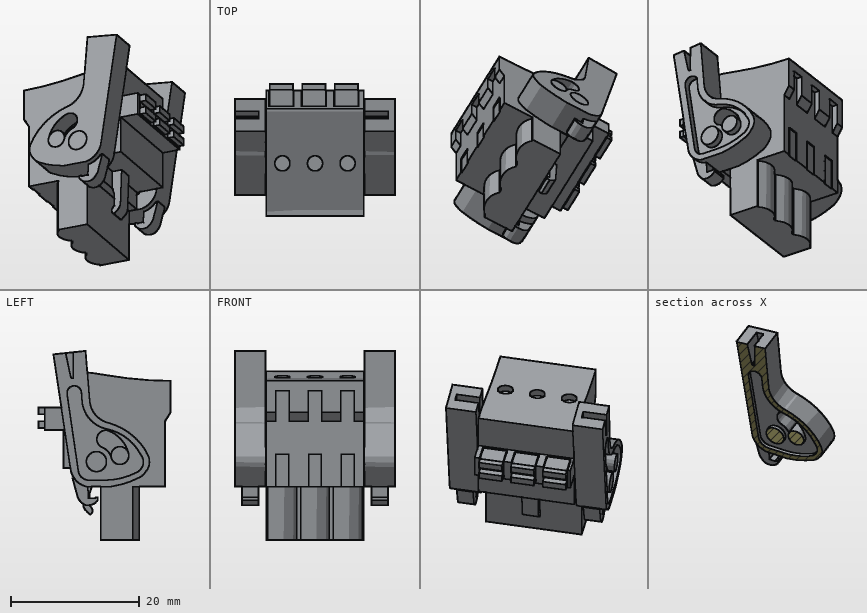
import cadquery as cq
import math


overall_width = 24.95
pole_count = 3
pole_pitch = 5.08
pole_positions = [(i - (pole_count - 1) / 2) * pole_pitch for i in range(pole_count)]
housing_width = pole_count * pole_pitch
cut_margin = 0.3

lip_overhang = 0.9
lip_bottom_z = 11.57
lip_root_z = 10.15
front_top_z = 16.5
crest_joint_y, crest_joint_z = 8.95, 17.35
rear_y = 15.85
rear_top_z = 18.0
rear_step_z = 2.9
underside_rear_y = 11.4

rear_block_y = 18.75
rear_block_bottom_z = 8.8
rear_block_top_z = 12.37

front_slot_width = 2.13
front_slot_top_z = 14.95
front_recess_width = 2.0
front_recess_height = 5.02
front_recess_depth = 0.15

test_hole_y = 7.35
test_hole_diameter = 2.35
test_hole_floor_z = 15.75

socket_length = 8.35
socket_rear_y = 10.05
socket_front_y = 5.05
socket_bulge = 1.03
socket_bulge_width = 4.52

tail_width = 2.6

button_offset_x = -0.18
button_width = 3.65
button_front_y = 16.25
button_shoulder_y = 18.85
button_tip_y = 19.75
button_bottom_z = 9.1
button_tip_inset = 0.03
button_slot_bottom_z = 10.2
button_slot_height = 1.03
button_side_gap = 0.12

lever_width = 4.78
lever_outer_x = overall_width / 2
lever_spacing = overall_width - lever_width
recess_depth = 1.15
lever_top_z = 21.17
lever_bottom_z = 0
recess_bottom_z = 1.0
slit_depth = 3.72
slit_front_y = 14.3
slit_bottom_z = 16.91
hook_width = 2.6

pivot_y, pivot_z = 10.7, 3.9
pivot_radius = 1.55
guide_radius = 1.4
guide_orbit = 3.78
guide_start_angle = 165.5
guide_end_angle = 112.5


def block(x_centre, width, y_min, y_max, z_min, z_max):
    """A box centred on x_centre along X, given by its limits along Y and Z."""
    depth = y_max - y_min
    height = z_max - z_min
    base = cq.Workplane("XY", origin=(x_centre, y_min, z_min))
    return base.box(width, depth, height, centered=(True, False, False))


def profile_at(x):
    """A sketch plane at the given X whose coordinates are Y and Z."""
    return cq.Workplane("YZ", origin=(x, 0, 0))


def orbit_point(radius, angle):
    """The Y and Z of a point on a circle about the pivot axis, with the angle measured from +Y towards +Z."""
    a = math.radians(angle)
    return pivot_y + radius * math.cos(a), pivot_z + radius * math.sin(a)


def housing_shell():
    """The main side profile across all the poles, with an S-shaped top."""
    rear_mid_y = (rear_y + crest_joint_y) / 2
    rear_mid = (rear_mid_y, rear_top_z - (rear_top_z - crest_joint_z) / 4)
    front_mid_y = (crest_joint_y - lip_overhang) / 2
    front_mid = (front_mid_y, front_top_z + (crest_joint_z - front_top_z) / 4)
    return (
        profile_at(-housing_width / 2)
        .moveTo(0, 0)
        .lineTo(0, lip_root_z)
        .lineTo(-lip_overhang, lip_bottom_z)
        .lineTo(-lip_overhang, front_top_z)
        .threePointArc(front_mid, (crest_joint_y, crest_joint_z))
        .threePointArc(rear_mid, (rear_y, rear_top_z))
        .lineTo(rear_y, rear_step_z)
        .lineTo(underside_rear_y, rear_step_z)
        .lineTo(underside_rear_y, 0)
        .close()
        .extrude(housing_width)
    )


def rear_block():
    return block(0, housing_width, rear_y, rear_block_y, rear_block_bottom_z, rear_block_top_z)


def front_openings(x):
    """The slot through the front lip and the shallow recess below it, for one pole."""
    slot = block(x, front_slot_width, -lip_overhang - cut_margin, 0, lip_root_z, front_slot_top_z)
    recess = block(x, front_recess_width, 0, front_recess_depth, 0, front_recess_height)
    return slot.union(recess)


def test_hole(x):
    return (
        cq.Workplane("XY", origin=(x, test_hole_y, test_hole_floor_z))
        .circle(test_hole_diameter / 2)
        .extrude(rear_top_z - test_hole_floor_z)
    )


def socket_row():
    """A bar across all the poles with one rounded bulge per pole on its front."""
    row = block(0, housing_width, socket_front_y, socket_rear_y, -socket_length, 0)
    for x in pole_positions:
        bulge = (
            cq.Workplane("XY", origin=(x, socket_front_y, -socket_length))
            .moveTo(-socket_bulge_width / 2, 0)
            .threePointArc((0, -socket_bulge), (socket_bulge_width / 2, 0))
            .close()
            .extrude(socket_length)
        )
        row = row.union(bulge)
    return row


def locking_tail():
    """A curved tail hanging from the rear step down past the lever hooks."""
    return (
        profile_at(-tail_width / 2)
        .moveTo(underside_rear_y, rear_step_z)
        .lineTo(underside_rear_y, 0)
        .lineTo(11.72, -1.03)
        .lineTo(11.72, -2.95)
        .threePointArc((11.42, -3.3), (11.25, -3.78))
        .threePointArc((11.37, -4.1), (11.7, -4.37))
        .lineTo(12.28, -3.78)
        .threePointArc((12.65, -3.25), (12.78, -2.72))
        .lineTo(13.0, rear_step_z)
        .close()
        .extrude(tail_width)
    )


def pin(y, z, radius, side):
    """A pin from one flank of the housing to the outer face of that side's lever."""
    start = side * housing_width / 2
    return profile_at(start).center(y, z).circle(radius).extrude(side * (lever_outer_x - housing_width / 2))


def button_pocket(x):
    return block(
        x,
        button_width + 2 * button_side_gap,
        button_front_y,
        rear_block_y + cut_margin,
        button_bottom_z,
        rear_block_top_z + cut_margin,
    )


def make_housing():
    body = housing_shell().union(rear_block()).union(socket_row()).union(locking_tail())
    for x in pole_positions:
        body = body.cut(front_openings(x)).cut(test_hole(x)).cut(button_pocket(x + button_offset_x))
    guide_y, guide_z = orbit_point(guide_orbit, guide_start_angle)
    for side in (-1, 1):
        body = body.union(pin(pivot_y, pivot_z, pivot_radius, side))
        body = body.union(pin(guide_y, guide_z, guide_radius, side))
    return body


def make_button(x):
    """A push button whose split tip stands out of the rear block."""
    body = block(x, button_width, button_front_y, button_shoulder_y, button_bottom_z, rear_block_top_z)
    tip = block(
        x,
        button_width,
        button_shoulder_y,
        button_tip_y,
        button_bottom_z + button_tip_inset,
        rear_block_top_z - button_tip_inset,
    )
    slot = block(
        x,
        button_width,
        rear_block_y,
        button_tip_y,
        button_slot_bottom_z,
        button_slot_bottom_z + button_slot_height,
    )
    return body.union(tip).cut(slot)


def lever_plate():
    return (
        profile_at(-lever_outer_x)
        .moveTo(17.42, 20.63)
        .lineTo(12.37, lever_top_z)
        .lineTo(11.75, 13.5)
        .threePointArc((10.85, 11.22), (8.75, 9.92))
        .threePointArc((5.52, 8.32), (3.13, 5.8))
        .lineTo(2.8, 5.15)
        .threePointArc((2.42, 3.75), (3.0, 2.33))
        .threePointArc((3.4, 1.85), (3.9, 1.48))
        .threePointArc((6.05, 0.55), (8.45, lever_bottom_z))
        .lineTo(12.22, lever_bottom_z)
        .threePointArc((13.75, 0.83), (14.67, 2.33))
        .close()
        .extrude(lever_width)
    )


def lever_recess():
    """The shallow pocket in the lever's -X face."""
    return (
        profile_at(-lever_outer_x)
        .moveTo(15.25, 14.4)
        .threePointArc((14.17, 15.7), (13.02, 14.58))
        .lineTo(12.93, 13.43)
        .threePointArc((11.72, 10.5), (9.03, 8.97))
        .threePointArc((6.08, 7.65), (3.85, 5.08))
        .lineTo(3.57, 4.65)
        .threePointArc((3.37, 3.78), (3.8, 2.72))
        .threePointArc((4.05, 2.45), (4.37, 2.25))
        .threePointArc((6.45, 1.42), (9.45, recess_bottom_z))
        .lineTo(11.87, recess_bottom_z)
        .threePointArc((13.05, 1.5), (13.52, 2.48))
        .close()
        .extrude(recess_depth)
    )


def guide_slot():
    """The curved slot, centred on the pivot, in which the guide pin travels."""
    middle_angle = (guide_start_angle + guide_end_angle) / 2
    inner = guide_orbit - guide_radius
    outer = guide_orbit + guide_radius
    band = (
        profile_at(-lever_outer_x)
        .moveTo(*orbit_point(outer, guide_start_angle))
        .threePointArc(orbit_point(outer, middle_angle), orbit_point(outer, guide_end_angle))
        .lineTo(*orbit_point(inner, guide_end_angle))
        .threePointArc(orbit_point(inner, middle_angle), orbit_point(inner, guide_start_angle))
        .close()
        .extrude(lever_width)
    )
    for angle in (guide_start_angle, guide_end_angle):
        y, z = orbit_point(guide_orbit, angle)
        rounded_end = profile_at(-lever_outer_x).center(y, z).circle(guide_radius).extrude(lever_width)
        band = band.union(rounded_end)
    return band


def pivot_bore():
    return profile_at(-lever_outer_x).center(pivot_y, pivot_z).circle(pivot_radius).extrude(lever_width)


def grip_slit():
    """The tapered slit in the top of the lever, open towards -X."""
    return (
        profile_at(-lever_outer_x)
        .moveTo(15.55, lever_top_z)
        .lineTo(14.7, 17.05)
        .lineTo(14.55, slit_bottom_z)
        .lineTo(slit_front_y, slit_bottom_z)
        .lineTo(slit_front_y, lever_top_z)
        .close()
        .extrude(slit_depth)
    )


def lever_hook():
    """The hook below the lever, centred in its width."""
    return (
        profile_at(-lever_outer_x + (lever_width - hook_width) / 2)
        .moveTo(14.45, 1.33)
        .lineTo(13.65, -1.62)
        .threePointArc((13.25, -2.25), (12.72, -2.75))
        .threePointArc((11.7, -2.9), (10.9, -2.57))
        .lineTo(10.48, -2.13)
        .lineTo(10.48, -1.68)
        .lineTo(10.83, -1.68)
        .lineTo(10.9, -1.8)
        .lineTo(11.93, -1.8)
        .lineTo(12.05, 0)
        .lineTo(12.05, 0.3)
        .close()
        .extrude(hook_width)
    )


def make_lever(offset_x):
    lever = lever_plate().union(lever_hook())
    lever = lever.cut(lever_recess()).cut(guide_slot()).cut(pivot_bore()).cut(grip_slit())
    return lever.translate((offset_x, 0, 0))


housing = make_housing()
levers = [make_lever(offset) for offset in (0, lever_spacing)]
buttons = [make_button(x + button_offset_x) for x in pole_positions]

result = cq.Compound.makeCompound(
    [housing.val()] + [lever.val() for lever in levers] + [button.val() for button in buttons]
)